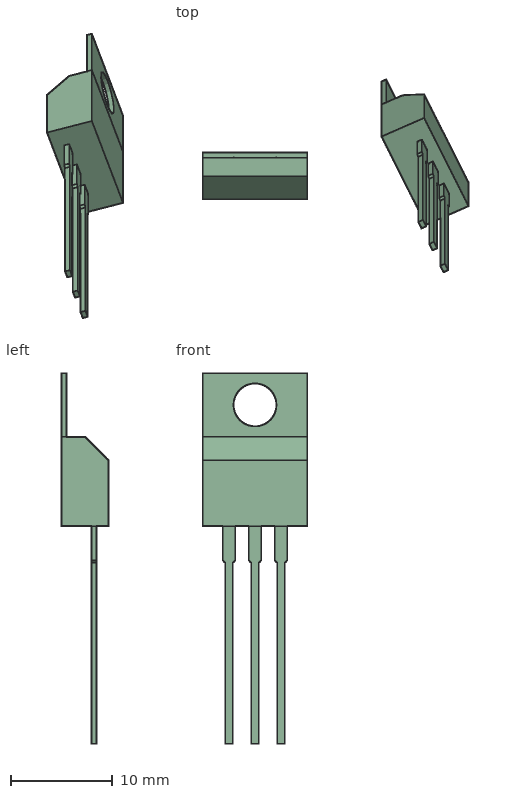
import cadquery as cq

total_height = 36.5
width = 10.3
depth = 4.65

housing_bottom = 21.43
housing_top = 30.23
housing_chamfer = 2.3

tab_thickness = 0.5
hole_diameter = 4.2
hole_below_top = 3.15

lead_count = 3
lead_pitch = 2.55
lead_thickness = 0.5
lead_back_offset = 2.95
lead_wide = 1.25
lead_narrow = 0.75
shoulder_bottom = 17.8
shoulder_height = (lead_wide - lead_narrow) / 2


def make_housing():
    """Block with its top front edge cut at 45 degrees."""
    profile = [
        (0, housing_bottom),
        (-depth, housing_bottom),
        (-depth, housing_top - housing_chamfer),
        (-depth + housing_chamfer, housing_top),
        (0, housing_top),
    ]
    return cq.Workplane("YZ").polyline(profile).close().extrude(width / 2, both=True)


def make_tab():
    """Thin plate standing on the housing, flush with its back and sides."""
    tab_height = total_height - housing_top
    plate = cq.Workplane("XZ").center(0, housing_top + tab_height / 2).rect(width, tab_height)
    hole = cq.Workplane("XZ").center(0, total_height - hole_below_top).circle(hole_diameter / 2)
    return plate.extrude(tab_thickness).cut(hole.extrude(tab_thickness))


def make_lead(center_x):
    """Flat lead that narrows at a pair of sloping shoulders."""
    right_half = [
        (lead_narrow / 2, 0),
        (lead_narrow / 2, shoulder_bottom),
        (lead_wide / 2, shoulder_bottom + shoulder_height),
        (lead_wide / 2, housing_bottom),
    ]
    left_half = [(-x, z) for x, z in reversed(right_half)]
    outline = cq.Workplane("XZ").polyline(right_half + left_half).close()
    return outline.extrude(lead_thickness).translate((center_x, -lead_back_offset, 0))


housing = make_housing()
tab = make_tab()

leads = []
for index in range(lead_count):
    lead_x = (index - (lead_count - 1) / 2) * lead_pitch
    leads.append(make_lead(lead_x).val())

result = cq.Compound.makeCompound([housing.val(), tab.val(), *leads])